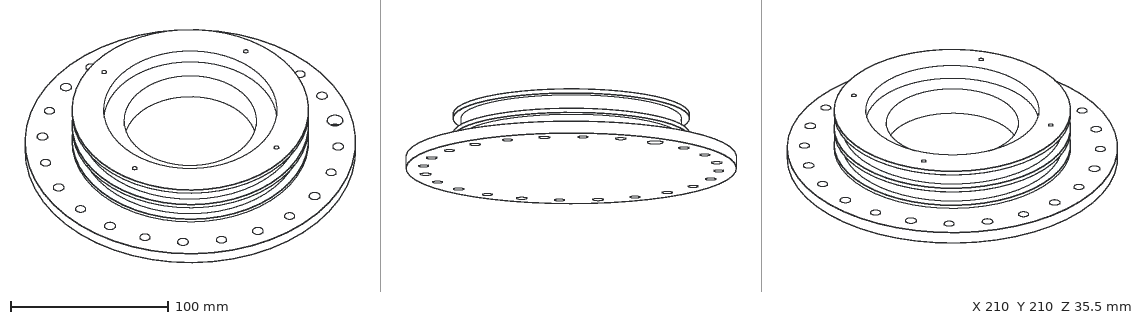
import cadquery as cq
import math

FLANGE_DIAMETER = 210.0
FLANGE_THICKNESS = 8.0

TOTAL_HEIGHT = 35.5
RIM_DIAMETER = 150.4
CORE_DIAMETER = 140.0
GROOVE_HEIGHT = 9.7
LOWER_RIM_THICKNESS = 2.3
TOP_RIM_THICKNESS = 3.0
LOWER_RIM_TOP = FLANGE_THICKNESS + LOWER_RIM_THICKNESS
MIDDLE_RIM_BASE = LOWER_RIM_TOP + GROOVE_HEIGHT
TOP_RIM_BASE = TOTAL_HEIGHT - TOP_RIM_THICKNESS
MIDDLE_RIM_TOP = TOP_RIM_BASE - GROOVE_HEIGHT

EDGE_CHAMFER = 0.2

RECESS_DIAMETER = 110.0
RECESS_DEPTH = 9.5
BORE_DIAMETER = 84.0
BORE_FLOOR = FLANGE_THICKNESS

BOLT_CIRCLE_DIAMETER = 188.0
BOLT_HOLE_COUNT = 24
CARDINAL_HOLE_DIAMETER = 7.0
EVEN_HOLE_DIAMETER = 6.7
ODD_HOLE_DIAMETER = 6.3
LARGE_HOLE_DIAMETER = 9.9
LARGE_HOLE_INDEX = 3
HOLES_PER_QUARTER = BOLT_HOLE_COUNT // 4

TOP_HOLE_CIRCLE_DIAMETER = 130.2
TOP_HOLE_COUNT = 4
TOP_HOLE_DIAMETER = 3.0
TOP_HOLE_DEPTH = 8.5


def cylinder(diameter, base, top):
    """Upright cylinder on the part axis between two heights."""
    return cq.Workplane("XY").workplane(offset=base).circle(diameter / 2).extrude(top - base)


def hole_on_circle(circle_diameter, index, count, diameter, base, top):
    """Upright hole at one of the evenly spaced places on a circle, counted from +X."""
    angle = 2 * math.pi * index / count
    radius = circle_diameter / 2
    position = (radius * math.cos(angle), radius * math.sin(angle), 0)
    return cylinder(diameter, base, top).translate(position)


def flange_hole_diameter(index):
    """Diameter of a flange hole: one is large, the rest alternate between the quarter points."""
    if index == LARGE_HOLE_INDEX:
        return LARGE_HOLE_DIAMETER
    if index % HOLES_PER_QUARTER == 0:
        return CARDINAL_HOLE_DIAMETER
    if index % 2 == 0:
        return EVEN_HOLE_DIAMETER
    return ODD_HOLE_DIAMETER


result = cylinder(FLANGE_DIAMETER, 0, FLANGE_THICKNESS).edges().chamfer(EDGE_CHAMFER)
result = result.union(cylinder(CORE_DIAMETER, FLANGE_THICKNESS, TOTAL_HEIGHT))

lower_rim = cylinder(RIM_DIAMETER, FLANGE_THICKNESS, LOWER_RIM_TOP)
result = result.union(lower_rim.faces(">Z").edges().chamfer(EDGE_CHAMFER))
for rim_base, rim_top in ((MIDDLE_RIM_BASE, MIDDLE_RIM_TOP), (TOP_RIM_BASE, TOTAL_HEIGHT)):
    rim = cylinder(RIM_DIAMETER, rim_base, rim_top)
    result = result.union(rim.edges().chamfer(EDGE_CHAMFER))

result = result.cut(cylinder(RECESS_DIAMETER, TOTAL_HEIGHT - RECESS_DEPTH, TOTAL_HEIGHT))
result = result.cut(cylinder(BORE_DIAMETER, BORE_FLOOR, TOTAL_HEIGHT))

for hole in range(BOLT_HOLE_COUNT):
    hole_diameter = flange_hole_diameter(hole)
    result = result.cut(
        hole_on_circle(BOLT_CIRCLE_DIAMETER, hole, BOLT_HOLE_COUNT, hole_diameter, 0, FLANGE_THICKNESS)
    )

top_hole_floor = TOTAL_HEIGHT - TOP_HOLE_DEPTH
for hole in range(TOP_HOLE_COUNT):
    result = result.cut(
        hole_on_circle(
            TOP_HOLE_CIRCLE_DIAMETER, hole, TOP_HOLE_COUNT, TOP_HOLE_DIAMETER, top_hole_floor, TOTAL_HEIGHT
        )
    )